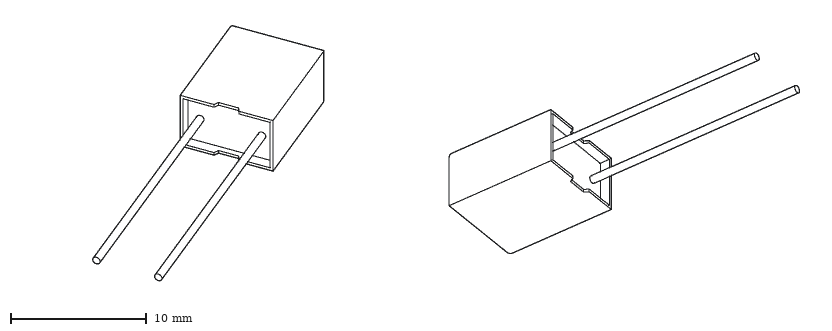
import cadquery as cq

overall_length = 27.6
case_width = 7.5
case_length = 9.6
case_height = 4.72
wall = 0.25
closed_end_radius = 0.5

notch_mouth_width = 2.01
notch_floor_width = 1.63
notch_depth = 0.35

filler_recess = 0.83

lead_diameter = 0.6
lead_pitch = 5.0
lead_tip_y = case_length - overall_length


def centered_block(width, height, start_y, end_y):
    """Rectangular block centered on the Y axis, from start_y to end_y."""
    length = end_y - start_y
    return cq.Workplane("XY").box(width, length, height).translate((0, start_y + length / 2, 0))


def cavity_block(start_y):
    """Block that fills the case cavity from start_y to the closed end wall."""
    return centered_block(case_width - 2 * wall, case_height - 2 * wall, start_y, case_length - wall)


def make_rim_notches():
    """Tapered cutter through the top and bottom walls at the open end."""
    return (
        cq.Workplane("XY")
        .moveTo(-notch_mouth_width / 2, 0)
        .lineTo(-notch_floor_width / 2, notch_depth)
        .lineTo(notch_floor_width / 2, notch_depth)
        .lineTo(notch_mouth_width / 2, 0)
        .close()
        .extrude(case_height / 2, both=True)
    )


def make_case():
    """Thin-walled case with a rounded closed end and two rim notches."""
    outer = centered_block(case_width, case_height, 0, case_length)
    outer = outer.faces(">Y").edges().fillet(closed_end_radius)
    return outer.cut(cavity_block(0)).cut(make_rim_notches())


def make_filler():
    """Solid filling of the case, set back from the open end."""
    return cavity_block(filler_recess)


def make_lead(x):
    """Straight round lead that ends on the filler face."""
    return (
        cq.Workplane("XZ", origin=(x, filler_recess, 0))
        .circle(lead_diameter / 2)
        .extrude(filler_recess - lead_tip_y)
    )


case = make_case()
filler = make_filler()
leads = [make_lead(side * lead_pitch / 2) for side in (-1, 1)]

result = cq.Compound.makeCompound([case.val(), filler.val(), *[lead.val() for lead in leads]])